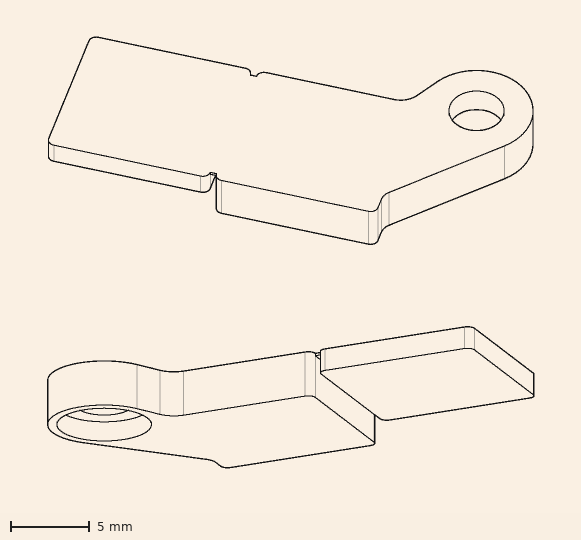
import cadquery as cq
import math

tilt = 5.5
width = 10.0
plate_length = 10.7
body_length = plate_length
hinge_gap = 0.4
plate_thickness = 1.47
body_thickness = 3.0
hinge_thickness = 0.17
corner_radius = 0.5

eye_x, eye_y = 25.15, 12.85
eye_radius = 3.6
hole_diameter = 3.5
counterbore_diameter = 6.0
counterbore_depth = 1.3
inner_flank_angle = 65.5
outer_flank_angle = 51.3
inner_flank_fillet = 1.5
outer_flank_fillet = 1.0

sine = math.sin(math.radians(tilt))
cosine = math.cos(math.radians(tilt))
origin_x = corner_radius * (1 - cosine) + (width - corner_radius) * sine
origin_y = corner_radius * (1 - sine - cosine)
body_start = plate_length + hinge_gap
body_end = body_start + body_length


def place(along, across):
    """Turn a position along and across the tilted strip into X, Y."""
    return (origin_x + along * cosine - across * sine, origin_y + along * sine + across * cosine)


def eye_point(angle):
    """Point on the outer rim of the eye."""
    a = math.radians(angle)
    return (eye_x + eye_radius * math.cos(a), eye_y + eye_radius * math.sin(a))


def meet(point_a, angle_a, point_b, angle_b):
    """Intersection of two lines, each given by a point and a direction."""
    ax, ay = math.cos(math.radians(angle_a)), math.sin(math.radians(angle_a))
    bx, by = math.cos(math.radians(angle_b)), math.sin(math.radians(angle_b))
    dx, dy = point_b[0] - point_a[0], point_b[1] - point_a[1]
    distance = (dx * by - dy * bx) / (ax * by - ay * bx)
    return (point_a[0] + distance * ax, point_a[1] + distance * ay)


def strip_block(start, end, margin, thickness):
    """Block across the strip, hanging down from the top face."""
    corners = [
        place(start, margin),
        place(end, margin),
        place(end, width - margin),
        place(start, width - margin),
    ]
    base = cq.Workplane("XY").workplane(offset=body_thickness - thickness)
    return base.polyline(corners).close().extrude(thickness)


def round_edge(solid, point, radius):
    """Round the upright edge at the given X, Y."""
    nearest = cq.selectors.NearestToPointSelector((*point, body_thickness / 2))
    return solid.edges("|Z").edges(nearest).fillet(radius)


def make_body():
    """Thick body with straight flanks running tangent to the eye."""
    lower_start = place(body_start, 0)
    lower_end = place(body_end, 0)
    upper_start = place(body_start, width)
    outer_tangent = eye_point(outer_flank_angle - 90)
    inner_tangent = eye_point(inner_flank_angle + 90)
    eye_top = eye_point((outer_flank_angle + inner_flank_angle) / 2)
    outer_joint = meet(outer_tangent, outer_flank_angle, lower_end, tilt + 90)
    inner_joint = meet(inner_tangent, inner_flank_angle, upper_start, tilt)
    body = (
        cq.Workplane("XY")
        .polyline([upper_start, lower_start, lower_end, outer_joint, outer_tangent])
        .threePointArc(eye_top, inner_tangent)
        .lineTo(*inner_joint)
        .close()
        .extrude(body_thickness)
    )
    for corner in (lower_start, lower_end, upper_start):
        body = round_edge(body, corner, corner_radius)
    body = round_edge(body, outer_joint, outer_flank_fillet)
    return round_edge(body, inner_joint, inner_flank_fillet)


def cut_eye_hole(body):
    """Through hole with a wider counterbore from below."""
    hole = cq.Workplane("XY").center(eye_x, eye_y).circle(hole_diameter / 2).extrude(body_thickness)
    counterbore = (
        cq.Workplane("XY").center(eye_x, eye_y).circle(counterbore_diameter / 2).extrude(counterbore_depth)
    )
    return body.cut(hole).cut(counterbore)


plate = strip_block(0, plate_length, 0, plate_thickness).edges("|Z").fillet(corner_radius)
hinge = strip_block(plate_length, body_start, corner_radius, hinge_thickness)
body = cut_eye_hole(make_body())
result = body.union(hinge).union(plate)